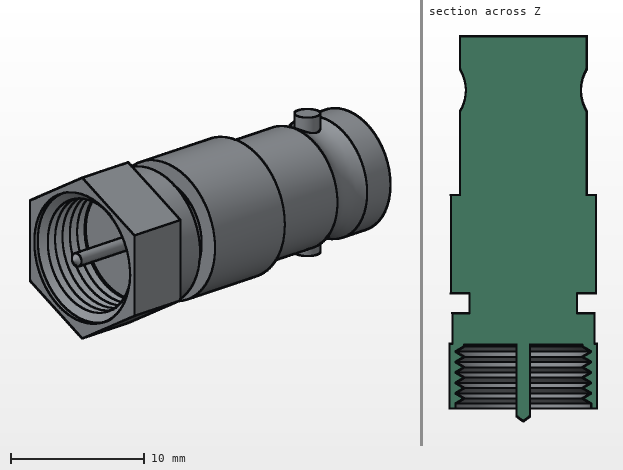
import cadquery as cq
import math

total_length = 28.95

nut_front = 0.95
nut_back = 5.85
nut_across_flats = 11.12

collar_end = 8.15
collar_radius = 5.35
neck_end = 9.61
neck_radius = 4.05
sleeve_end = 17.03
sleeve_radius = 5.47
barrel_radius = 4.78

ring_start = 23.3
ring_end = 26.47
ring_depth = 0.43
stud_radius = 0.98
stud_reach = 5.53

thread_minor_radius = 4.43
thread_major_radius = 5.1
thread_pitch = 0.78
thread_count = 5
entry_depth = 0.38
land_length = 0.15

pin_radius = 0.52
point_length = 0.38

ring_middle = (ring_start + ring_end) / 2
thread_start = nut_front + entry_depth
last_crest = thread_start + (thread_count + 0.5) * thread_pitch
socket_floor = last_crest + land_length


def make_nut():
    corner_diameter = nut_across_flats / math.cos(math.pi / 6)
    nut = cq.Workplane("XY").polygon(6, corner_diameter).extrude(nut_back - nut_front)
    nut = nut.rotate((0, 0, 0), (1, 0, 0), -90).rotate((0, 0, 0), (0, 1, 0), 90)
    return nut.translate((0, nut_front, 0))


def make_body():
    profile = (
        cq.Workplane("XY")
        .moveTo(0, nut_back)
        .lineTo(collar_radius, nut_back)
        .lineTo(collar_radius, collar_end)
        .lineTo(neck_radius, collar_end)
        .lineTo(neck_radius, neck_end)
        .lineTo(sleeve_radius, neck_end)
        .lineTo(sleeve_radius, sleeve_end)
        .lineTo(barrel_radius, sleeve_end)
        .lineTo(barrel_radius, ring_start)
        .threePointArc((barrel_radius - ring_depth, ring_middle), (barrel_radius, ring_end))
        .lineTo(barrel_radius, total_length)
        .lineTo(0, total_length)
        .close()
    )
    return profile.revolve(360, (0, 0, 0), (0, 1, 0))


def make_socket():
    profile = (
        cq.Workplane("XY")
        .moveTo(0, nut_front)
        .lineTo(thread_major_radius, nut_front)
        .lineTo(thread_major_radius, thread_start)
    )
    for turn in range(thread_count):
        crest = thread_start + (turn + 0.5) * thread_pitch
        root = crest + thread_pitch / 2
        profile = profile.lineTo(thread_minor_radius, crest).lineTo(thread_major_radius, root)
    profile = profile.lineTo(thread_minor_radius, last_crest)
    profile = profile.lineTo(thread_minor_radius, socket_floor).lineTo(0, socket_floor).close()
    return profile.revolve(360, (0, 0, 0), (0, 1, 0))


def make_pin():
    profile = (
        cq.Workplane("XY")
        .lineTo(pin_radius, point_length)
        .lineTo(pin_radius, nut_back)
        .lineTo(0, nut_back)
        .close()
    )
    return profile.revolve(360, (0, 0, 0), (0, 1, 0))


def make_studs():
    studs = cq.Workplane("XY").circle(stud_radius).extrude(stud_reach, both=True)
    return studs.translate((0, ring_middle, 0))


result = make_nut().cut(make_socket()).union(make_body()).union(make_pin()).union(make_studs())